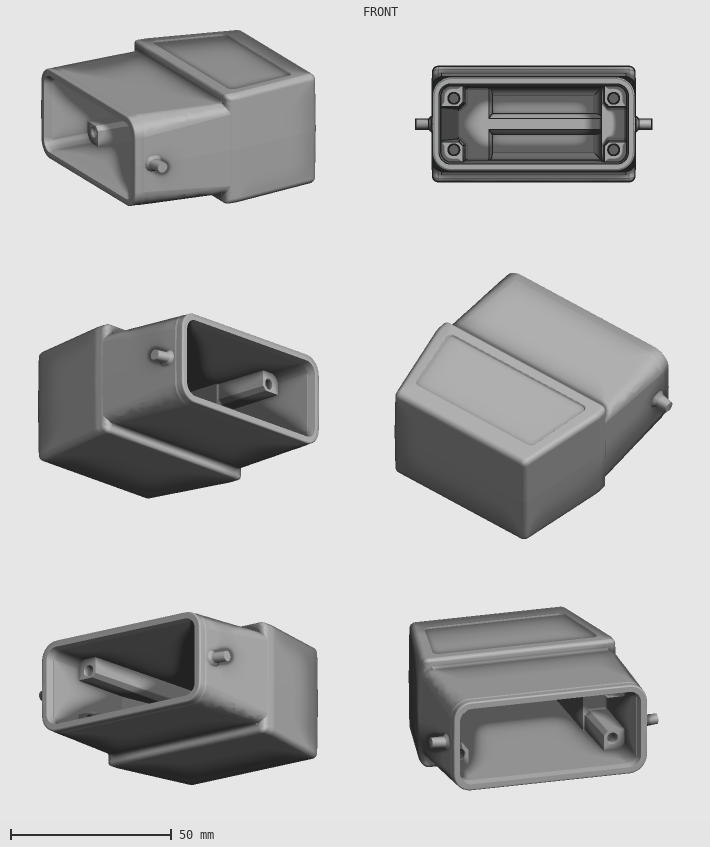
import cadquery as cq
import math

length = 67.3
height = 36.0
half_width = 31.75
back_half_width = 25.5
knee_y = 36.7
knee_radius = 5.9
draft_inset = 0.2
side_slope = (half_width - back_half_width) / (length - knee_y)

hood_front_y = 32.1
hood_edge_radius = 2.0
hood_front_edge_radius = 1.1
skirt_height = 29.55
skirt_back_radius = 3.1
skirt_front_radius = 5.9
cove_radius = 0.95

lip_length = 2.5
lip_inset = 0.15
lip_bevel_length = 0.6
lip_edge_radius = 0.5

wall = 2.95
mouth_width, mouth_height = 58.95, 25.0
throat_y = 2.6
throat_width, throat_height = 57.9, 24.1
cavity_back_y = 61.75
cavity_back_width, cavity_back_height = 57.3, 22.5
mouth_radius = 3.8
cavity_radius = 3.3
floor_radius = 0.45

post_front_y = 15.1
post_inner_x = 22.05
post_inner_z = 5.5
post_corner_chamfer = 1.25
post_draft_angle = 1.1
screw_x, screw_z = 24.85, 8.0
screw_radius = 1.6
screw_depth = 14.7
screw_chamfer = 0.2

block_inner_x = 21.0
block_recess_radius = 0.6
block_recess_floor_y = 33.8

pocket_depth = 2.95
pocket_left_x, pocket_right_x = -14.0, block_inner_x
pocket_left_run = 1.1
rib_half_height = 1.8
rib_flank_run = 1.55
pocket_top_z = 11.2
pocket_radius = 2.35

plate_front_y, plate_back_y = 36.0, 60.05
plate_front_half, plate_back_half = 27.05, 22.7
plate_radius = 1.85
plate_depth = 0.5
plate_edge_run = 0.4

pin_tip_x = 36.75
pin_high_y = 8.7
pin_radius = 1.6
pin_tip_length = 3.3
pin_root_length = 4.85
pin_flare = 1.0
pin_flare_height = 0.95

OVERLAP = 1.5


def box(x_range, y_range, z_range):
    sizes = [high - low for low, high in (x_range, y_range, z_range)]
    corner = cq.Vector(x_range[0], y_range[0], z_range[0])
    return cq.Workplane(cq.Solid.makeBox(*sizes, pnt=corner))


def section_wire(y, sketch):
    """Outline of a sketch placed across the part at one Y."""
    plate = cq.Workplane("XZ", origin=(0, y, 0)).placeSketch(sketch).extrude(-0.7)
    return plate.faces("<Y").wires().val()


def ruled_loft(first, last):
    return cq.Workplane(cq.Solid.makeLoft([first, last], True))


def rounded_section(y, width, tall, radius):
    return section_wire(y, cq.Sketch().rect(width, tall).vertices().fillet(radius))


def drafted_plan(front_y):
    """Upper half of the shell: knee on each side, narrowing away from Z = 0."""
    def outline(inset):
        side = half_width - inset
        back_y = length - inset
        back_side = side - side_slope * (back_y - knee_y)
        return [
            (-side, front_y),
            (side, front_y),
            (side, knee_y),
            (back_side, back_y),
            (-back_side, back_y),
            (-side, knee_y),
        ]

    return (
        cq.Workplane("XY").polyline(outline(0)).close()
        .workplane(offset=height / 2).polyline(outline(draft_inset)).close()
        .loft(ruled=True)
    )


def edges_at(y):
    """Selector for the upright edges of the upper half near one Y."""
    reach = length
    return cq.selectors.BoxSelector((-reach, y - 0.7, 0.7), (reach, y + 0.7, height / 2 - 0.7))


def hood():
    half = drafted_plan(hood_front_y)
    half = half.edges(edges_at(knee_y)).fillet(knee_radius)
    upright = half.edges(edges_at(length)).vals() + half.edges(edges_at(hood_front_y)).vals()
    side_rim = half.faces(">Z").edges("not <Y").vals()
    half = half.newObject(upright + side_rim).fillet(hood_edge_radius)
    half = half.faces("<Y").edges(">Z").fillet(hood_front_edge_radius)
    return half.union(half.mirror("XY"))


def skirt_section(y, inset, corner_radius):
    """Rounded outline of the skirt, its sides drafted like those of the hood."""
    side = half_width - inset
    top = skirt_height / 2 - inset
    top_side = side - draft_inset * top / (height / 2)
    corners = [
        (side, 0),
        (top_side, top),
        (-top_side, top),
        (-side, 0),
        (-top_side, -top),
        (top_side, -top),
    ]
    sketch = cq.Sketch().polygon([*corners, corners[0]])
    return section_wire(y, sketch.vertices(">Y or <Y").fillet(corner_radius))


def skirt():
    taper_start_y = lip_length + lip_bevel_length
    lip_radius = skirt_front_radius - lip_inset
    front = skirt_section(0, lip_inset, lip_radius)
    lip_back = skirt_section(lip_length, lip_inset, lip_radius)
    taper_start = skirt_section(taper_start_y, 0, skirt_front_radius)
    hood_joint = skirt_section(hood_front_y + OVERLAP, 0, skirt_back_radius)
    lip = ruled_loft(front, lip_back).faces("<Y").edges().fillet(lip_edge_radius)
    return lip.union(ruled_loft(lip_back, taper_start)).union(ruled_loft(taper_start, hood_joint))


def cove(side):
    """Blend along the corner between skirt and hood front, above (1) or below (-1)."""
    base = skirt_height / 2
    half_length = half_width - skirt_back_radius
    r = cove_radius
    root = 0.4
    profile = (
        cq.Workplane("YZ", origin=(-half_length, 0, 0))
        .moveTo(hood_front_y - r, base)
        .threePointArc(
            (hood_front_y - r * (1 - math.sqrt(0.5)), base + r * (1 - math.sqrt(0.5))),
            (hood_front_y, base + r),
        )
        .lineTo(hood_front_y + root, base + r)
        .lineTo(hood_front_y + root, base - root)
        .lineTo(hood_front_y - r, base - root)
        .close()
        .extrude(2 * half_length)
    )
    return profile if side > 0 else profile.mirror("XY")


def cavity_inner_outline(back_y):
    """Plan of the cavity: parallel to the leaning outer sides, one wall inside them."""
    knee_side = half_width - wall
    back_side = knee_side - side_slope * (back_y - knee_y)
    return [
        (-knee_side, -OVERLAP),
        (knee_side, -OVERLAP),
        (knee_side, knee_y),
        (back_side, back_y),
        (-back_side, back_y),
        (-knee_side, knee_y),
    ]


def cavity():
    mouth = ruled_loft(
        rounded_section(0, mouth_width, mouth_height, mouth_radius),
        rounded_section(throat_y, throat_width, throat_height, cavity_radius),
    )
    deep = ruled_loft(
        rounded_section(throat_y, throat_width, throat_height, cavity_radius),
        rounded_section(cavity_back_y, cavity_back_width, cavity_back_height, cavity_radius),
    )
    leaning_sides = (
        cq.Workplane("XY", origin=(0, 0, -height / 2))
        .polyline(cavity_inner_outline(cavity_back_y)).close().extrude(height)
    )
    return mouth, deep.intersect(leaning_sides)


def post(side_x, side_z):
    """Drafted screw post in one corner, running from its face to the back wall."""
    far_x = 2 * post_inner_x
    far_z = skirt_height / 2
    c = post_corner_chamfer
    outline = [
        (side_x * far_x, side_z * post_inner_z),
        (side_x * (post_inner_x + c), side_z * post_inner_z),
        (side_x * post_inner_x, side_z * (post_inner_z + c)),
        (side_x * post_inner_x, side_z * far_z),
        (side_x * far_x, side_z * far_z),
    ]
    depth = cavity_back_y - post_front_y
    return (
        cq.Workplane("XZ", origin=(0, post_front_y, 0))
        .polyline(outline).close().extrude(-depth, taper=-post_draft_angle)
    )


def corner_posts():
    posts = post(-1, 1)
    for side_x, side_z in ((-1, -1), (1, 1), (1, -1)):
        posts = posts.union(post(side_x, side_z))
    return posts


def right_block():
    """Solid fill between the two posts on the +X side, behind their recess."""
    z_range = (-skirt_height / 2, skirt_height / 2)
    return box((block_inner_x, half_width), (block_recess_floor_y, cavity_back_y), z_range)


def screw_hole(x, z):
    hole = (
        cq.Workplane("XZ", origin=(x, post_front_y, z))
        .circle(screw_radius).extrude(-screw_depth)
    )
    rim = cq.Solid.makeCone(
        screw_radius + screw_chamfer, screw_radius, screw_chamfer,
        pnt=cq.Vector(x, post_front_y, z), dir=cq.Vector(0, 1, 0),
    )
    return hole.union(cq.Workplane(rim))


def pocket(side):
    """Recess in the back wall above (1) or below (-1) the middle rib."""
    front_y = cavity_back_y - OVERLAP
    back_y = cavity_back_y + pocket_depth
    r = pocket_radius
    arc_cos = r * math.sqrt(0.5)

    def profile(plane, start, inner, inner_run, outer):
        """Sloped flank on the inner side, rounded corner on the outer side."""
        front_inner = inner - inner_run * OVERLAP / pocket_depth

        def at(across, y):
            return (across, y) if plane == "XY" else (y, across)

        return (
            cq.Workplane(plane, origin=start)
            .moveTo(*at(front_inner, front_y))
            .lineTo(*at(outer, front_y))
            .lineTo(*at(outer, back_y - r))
            .threePointArc(at(outer - r + arc_cos, back_y - r + arc_cos), at(outer - r, back_y))
            .lineTo(*at(inner + inner_run, back_y))
            .close()
        )

    plan = profile("XY", (0, 0, 0), pocket_left_x, pocket_left_run, pocket_right_x)
    upright = profile("YZ", (-half_width, 0, 0), rib_half_height, rib_flank_run, pocket_top_z)
    body = plan.extrude(height / 2).intersect(upright.extrude(2 * half_width))
    return body if side > 0 else body.mirror("XY")


def name_plate_recess():
    outline = [
        (-plate_front_half, plate_front_y),
        (plate_front_half, plate_front_y),
        (plate_back_half, plate_back_y),
        (-plate_back_half, plate_back_y),
    ]
    recess = (
        cq.Workplane("XY", origin=(0, 0, height / 2 - plate_depth))
        .polyline(outline).close().extrude(plate_depth)
        .edges("|Z").fillet(plate_radius)
    )
    return recess.faces("<Z").edges().chamfer(plate_depth - 0.1, plate_edge_run)


def slot_wire(x, slot_length, slot_height, center_y):
    slot = cq.Workplane("YZ", origin=(x, center_y, 0)).slot2D(slot_length, slot_height)
    return slot.wires().val()


def pin(side):
    """Locking pin on the +X (1) or -X (-1) side, thickened towards the opening."""
    root_x = half_width - OVERLAP
    flare_x = half_width + pin_flare_height
    share = (pin_tip_x - flare_x) / (pin_tip_x - root_x)
    flare_length = pin_tip_length + share * (pin_root_length - pin_tip_length)
    root = slot_wire(root_x, pin_root_length, 2 * pin_radius, pin_high_y - pin_root_length / 2)
    tip = slot_wire(pin_tip_x, pin_tip_length, 2 * pin_radius, pin_high_y - pin_tip_length / 2)
    body = cq.Workplane(cq.Solid.makeLoft([root, tip], True))

    flare_center_y = pin_high_y - flare_length / 2
    grow = 2 * pin_flare
    inner = slot_wire(half_width - 0.15, flare_length + grow, 2 * pin_radius + grow, flare_center_y)
    outer = slot_wire(flare_x, flare_length, 2 * pin_radius, flare_center_y)
    body = body.union(cq.Workplane(cq.Solid.makeLoft([inner, outer], True)))
    return body if side > 0 else body.mirror("YZ")


def hollow():
    mouth, deep = cavity()
    deep = deep.cut(corner_posts()).cut(right_block())
    deep = deep.faces(">Y").edges().fillet(floor_radius)
    recess_floor = cq.selectors.BoxSelector(
        (post_inner_x, block_recess_floor_y - 0.7, -post_inner_z),
        (half_width, block_recess_floor_y + 0.7, post_inner_z),
    )
    deep = deep.faces(recess_floor).edges("not <X").fillet(block_recess_radius)
    return deep.union(mouth)


result = hood().union(skirt())
for side in (1, -1):
    result = result.union(cove(side)).union(pin(side))
result = result.cut(hollow())
for side in (1, -1):
    result = result.cut(pocket(side))
for side_x in (1, -1):
    for side_z in (1, -1):
        result = result.cut(screw_hole(side_x * screw_x, side_z * screw_z))
result = result.cut(name_plate_recess())